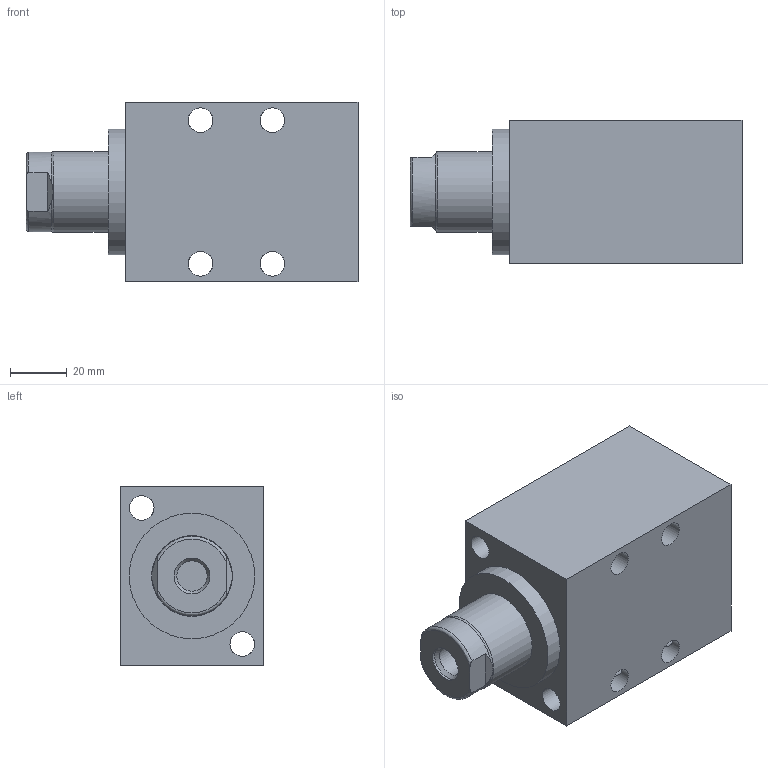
import cadquery as cq
import math

BLOCK_LENGTH = 82.3
BLOCK_WIDTH = 50.8
BLOCK_HEIGHT = 63.5

FLANGE_DIAMETER = 44.45
FLANGE_THICKNESS = 6.1
SHAFT_DIAMETER = 28.575
SHAFT_PROJECTION = 35.17

NOSE_DIAMETER = 28.1
NOSE_LENGTH = 9.0
STEP_LENGTH = 0.75
NOSE_EDGE_RADIUS = 1.0

FLATS_WIDTH = 24.5
FLATS_LENGTH = 7.6

BORE_DIAMETER = 10.7
BORE_MOUTH_DIAMETER = 12.7
BORE_MOUTH_DEPTH = 0.9
BORE_TAPER_LENGTH = 1.4
BORE_DEPTH = 25.4

MOUNT_HOLE_DIAMETER = 8.73
CROSS_HOLE_FIRST_X = 26.6
CROSS_HOLE_SPACING_X = 25.4
CROSS_HOLE_Z = 25.4
LONG_HOLE_Y = 17.8
LONG_HOLE_Z = 24.1

SHAFT_END_X = -SHAFT_PROJECTION


def make_block():
    return cq.Workplane("XY").box(
        BLOCK_LENGTH, BLOCK_WIDTH, BLOCK_HEIGHT, centered=(False, True, True)
    )


def make_flange_and_shaft():
    """Half profile (distance along X, radius) revolved about the X axis."""
    nose_radius = NOSE_DIAMETER / 2
    shaft_radius = SHAFT_DIAMETER / 2
    flange_radius = FLANGE_DIAMETER / 2
    step_x = SHAFT_END_X + NOSE_LENGTH
    edge_arc_middle = NOSE_EDGE_RADIUS * (1 - math.sqrt(0.5))
    return (
        cq.Workplane("XY")
        .moveTo(SHAFT_END_X, 0)
        .lineTo(SHAFT_END_X, nose_radius - NOSE_EDGE_RADIUS)
        .threePointArc(
            (SHAFT_END_X + edge_arc_middle, nose_radius - edge_arc_middle),
            (SHAFT_END_X + NOSE_EDGE_RADIUS, nose_radius),
        )
        .lineTo(step_x, nose_radius)
        .lineTo(step_x + STEP_LENGTH, shaft_radius)
        .lineTo(-FLANGE_THICKNESS, shaft_radius)
        .lineTo(-FLANGE_THICKNESS, flange_radius)
        .lineTo(0, flange_radius)
        .lineTo(0, 0)
        .close()
        .revolve(360, (0, 0), (1, 0))
    )


def make_wrench_flat(side):
    """Cutter for one flat; side is +1 or -1 along Y."""
    flat_y = FLATS_WIDTH / 2
    outer_y = SHAFT_DIAMETER
    ramp_start_x = SHAFT_END_X + FLATS_LENGTH
    ramp_end_x = ramp_start_x + outer_y - flat_y
    outline = [
        (SHAFT_END_X, side * flat_y),
        (ramp_start_x, side * flat_y),
        (ramp_end_x, side * outer_y),
        (SHAFT_END_X, side * outer_y),
    ]
    return cq.Workplane("XY").polyline(outline).close().extrude(SHAFT_DIAMETER / 2, both=True)


def make_bore():
    """Blind bore with a short wider mouth that tapers down to it."""
    bore_radius = BORE_DIAMETER / 2
    mouth_radius = BORE_MOUTH_DIAMETER / 2
    taper_start_x = SHAFT_END_X + BORE_MOUTH_DEPTH
    bore_end_x = SHAFT_END_X + BORE_DEPTH
    profile = [
        (SHAFT_END_X, 0),
        (SHAFT_END_X, mouth_radius),
        (taper_start_x, mouth_radius),
        (taper_start_x + BORE_TAPER_LENGTH, bore_radius),
        (bore_end_x, bore_radius),
        (bore_end_x, 0),
    ]
    return cq.Workplane("XY").polyline(profile).close().revolve(360, (0, 0), (1, 0))


def make_cross_holes():
    """Four holes through the block along Y."""
    centers = [
        (x, z)
        for x in (CROSS_HOLE_FIRST_X, CROSS_HOLE_FIRST_X + CROSS_HOLE_SPACING_X)
        for z in (-CROSS_HOLE_Z, CROSS_HOLE_Z)
    ]
    return (
        cq.Workplane("XZ")
        .pushPoints(centers)
        .circle(MOUNT_HOLE_DIAMETER / 2)
        .extrude(BLOCK_WIDTH / 2, both=True)
    )


def make_long_holes():
    """Two holes through the block along X, in diagonally opposite corners."""
    return (
        cq.Workplane("YZ")
        .pushPoints([(LONG_HOLE_Y, LONG_HOLE_Z), (-LONG_HOLE_Y, -LONG_HOLE_Z)])
        .circle(MOUNT_HOLE_DIAMETER / 2)
        .extrude(BLOCK_LENGTH)
    )


result = make_block().union(make_flange_and_shaft())
for flat_side in (-1, 1):
    result = result.cut(make_wrench_flat(flat_side))
result = result.cut(make_bore())
result = result.cut(make_cross_holes())
result = result.cut(make_long_holes())